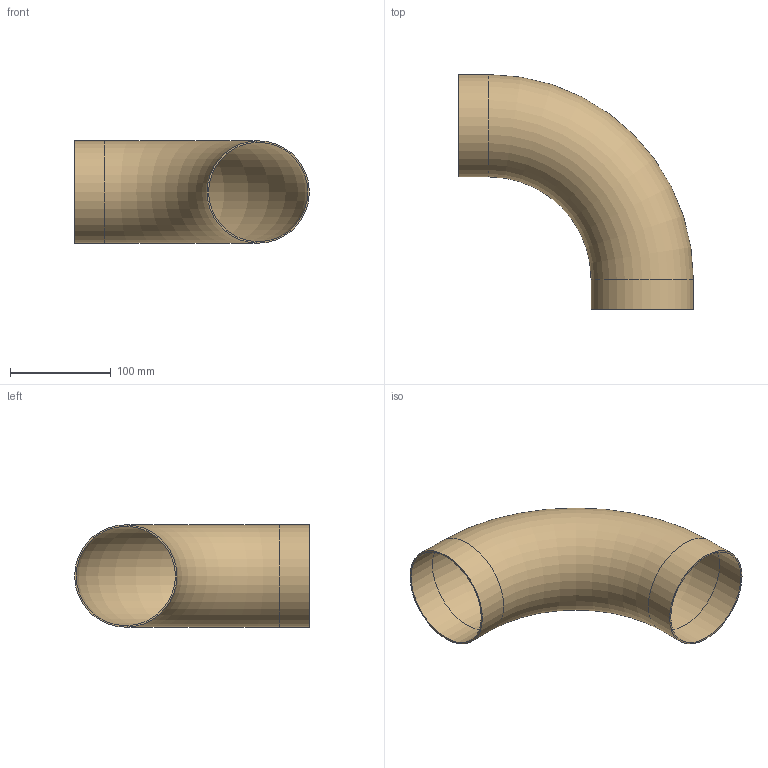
import cadquery as cq

outer_diameter = 101.6
wall_thickness = 1.5
inner_diameter = outer_diameter - 2 * wall_thickness
bend_radius = 1.5 * outer_diameter
bend_angle = 90.0
collar_length = 30.0


def pipe_section(plane):
    """Ring-shaped pipe cross section, one bend radius out from the Z axis."""
    return (
        cq.Workplane(plane)
        .center(bend_radius, 0)
        .circle(outer_diameter / 2)
        .circle(inner_diameter / 2)
    )


def make_bend():
    """Quarter torus running from the +X axis round to the +Y axis."""
    axis_start = (-bend_radius, 0)
    axis_end = (-bend_radius, 1)
    return pipe_section("XZ").revolve(bend_angle, axis_start, axis_end)


def make_collar_along_y():
    """Straight collar leaving the bend toward -Y, the normal of the XZ plane."""
    return pipe_section("XZ").extrude(collar_length)


def make_collar_along_x():
    """Straight collar leaving the bend toward -X, against the normal of the YZ plane."""
    return pipe_section("YZ").extrude(-collar_length)


result = make_bend().union(make_collar_along_y()).union(make_collar_along_x())